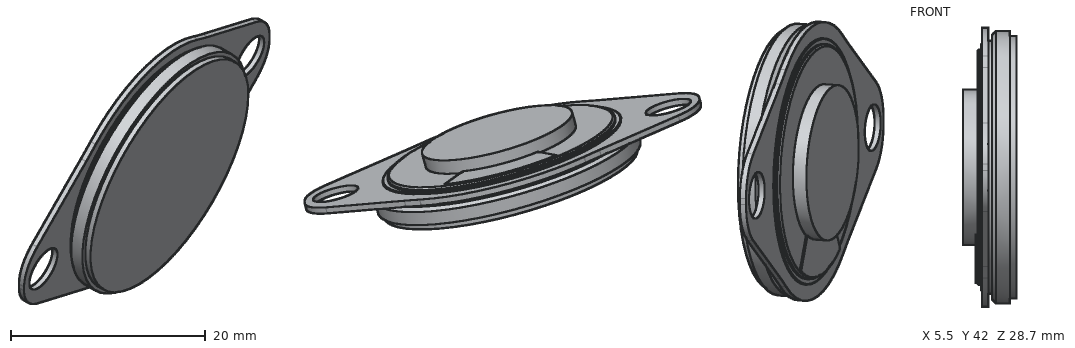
import cadquery as cq
import math

disc_face = 1.45
collar_face = 1.85
flange_front = 1.95
flange_thickness = 0.67
flange_back = flange_front + flange_thickness
rim_front = 3.0
rim_back = 4.85
total_depth = 5.5

boss_diameter = 16.0
disc_diameter = 24.25
disc_chamfer = 0.2
collar_diameter = 25.4
collar_chamfer = flange_front - collar_face
neck_diameter = 26.0
rim_diameter = 28.0
rim_chamfer = 0.4
end_diameter = 27.0

board_thickness = 0.15
board_diameter = disc_diameter - 2 * disc_chamfer
board_angle = 60.0

flange_length = 42.0
flange_radius = 14.35
tip_radius = 5.12
tip_flat = 0.65
blend_radius = 33.6
blend_angle = 37.5
hole_diameter = 4.8
hole_spacing = 35.35


def disc(diameter, x_start, x_end):
    """Solid round disc on the X axis between two X positions."""
    return cq.Workplane("YZ", origin=(x_start, 0, 0)).circle(diameter / 2).extrude(x_end - x_start)


def make_housing():
    """Stepped round housing, revolved about X, with the boss at its front."""
    boss_radius = boss_diameter / 2
    disc_radius = disc_diameter / 2
    collar_radius = collar_diameter / 2
    neck_radius = neck_diameter / 2
    rim_radius = rim_diameter / 2
    end_radius = end_diameter / 2
    profile = [
        (0, 0),
        (0, boss_radius),
        (disc_face, boss_radius),
        (disc_face, disc_radius - disc_chamfer),
        (disc_face + disc_chamfer, disc_radius),
        (collar_face, disc_radius),
        (collar_face, collar_radius - collar_chamfer),
        (flange_front, collar_radius),
        (flange_back, collar_radius),
        (flange_back, neck_radius),
        (rim_front, neck_radius),
        (rim_front, rim_radius - rim_chamfer),
        (rim_front + rim_chamfer, rim_radius),
        (rim_back, rim_radius),
        (rim_back, end_radius),
        (total_depth, end_radius),
        (total_depth, 0),
    ]
    return cq.Workplane("XY").polyline(profile).close().revolve(360, (0, 0, 0), (1, 0, 0))


def make_board():
    """Thin ring sector lying on the disc face, from the boss out to the disc edge."""
    board_front = disc_face - board_thickness
    ring = disc(board_diameter, board_front, disc_face).cut(disc(boss_diameter, board_front, disc_face))
    depth = board_diameter
    half_width = depth * math.tan(math.radians(board_angle / 2))
    sector = (
        cq.Workplane("YZ", origin=(board_front, 0, 0))
        .polyline([(0, 0), (-half_width, -depth), (half_width, -depth)])
        .close()
        .extrude(board_thickness)
    )
    return ring.intersect(sector)


def arc_point(center, radius, angle):
    """Point (y, z) on a circle, with the angle in radians measured from +Z towards +Y."""
    return center[0] + radius * math.sin(angle), center[1] + radius * math.cos(angle)


def make_flange_quarter():
    """Quarter of the plate at +Y, +Z: round middle, concave blend, straight side and round tip."""
    axis = (0, 0)
    start = math.radians(blend_angle)
    end = math.pi / 2
    blend_center = arc_point(axis, flange_radius + blend_radius, start)
    tip_center = (flange_length / 2 - tip_radius, tip_flat / 2)

    dy = blend_center[0] - tip_center[0]
    dz = blend_center[1] - tip_center[1]
    side = math.atan2(dy, dz) + math.acos((blend_radius + tip_radius) / math.hypot(dy, dz))

    blend_middle = arc_point(blend_center, -blend_radius, (start + side) / 2)
    blend_end = arc_point(blend_center, -blend_radius, side)
    return (
        cq.Workplane("YZ", origin=(flange_front, 0, 0))
        .lineTo(0, flange_radius)
        .threePointArc(arc_point(axis, flange_radius, start / 2), arc_point(axis, flange_radius, start))
        .threePointArc(blend_middle, blend_end)
        .lineTo(*arc_point(tip_center, tip_radius, side))
        .threePointArc(
            arc_point(tip_center, tip_radius, (side + end) / 2),
            arc_point(tip_center, tip_radius, end),
        )
        .lineTo(flange_length / 2, 0)
        .close()
        .extrude(flange_thickness)
    )


def make_flange():
    """Two-eared mounting plate that fits around the collar of the housing."""
    quarter = make_flange_quarter()
    half = quarter.union(quarter.mirror("XY"))
    plate = half.union(half.mirror("XZ")).clean()
    screw_holes = (
        cq.Workplane("YZ", origin=(flange_front, 0, 0))
        .pushPoints([(-hole_spacing / 2, 0), (hole_spacing / 2, 0)])
        .circle(hole_diameter / 2)
        .extrude(flange_thickness)
    )
    collar_hole = disc(collar_diameter, flange_front, flange_back)
    return plate.cut(screw_holes).cut(collar_hole)


housing = make_housing()
board = make_board()
flange = make_flange()

result = cq.Compound.makeCompound([housing.val(), board.val(), flange.val()])